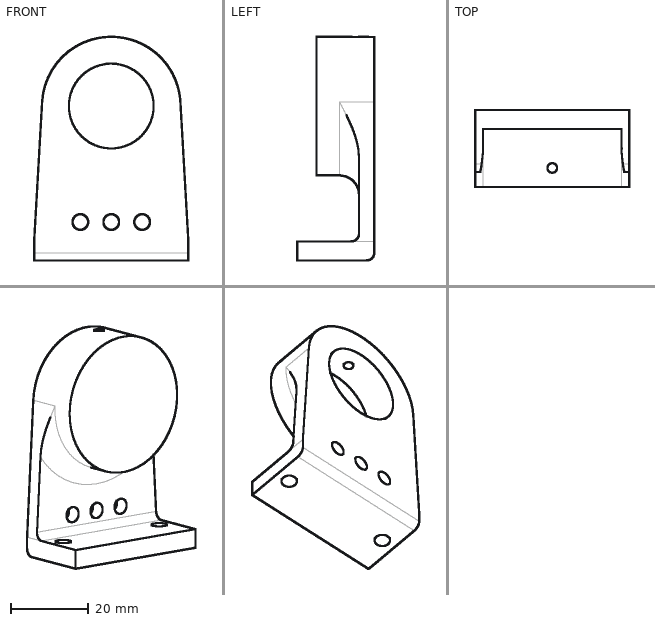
import cadquery as cq
import math

height = 58.0
width = 40.0
base_depth = 20.0
base_thickness = 5.0
wall_thickness = 4.0
corner_radius = 2.0

boss_radius = 18.0
boss_depth = 15.0
boss_fillet = 5.0
bore_diameter = 22.0
bore_depth = 10.0
boss_z = height - boss_radius

wall_hole_diameter = 4.0
wall_hole_spacing = 8.0
wall_hole_z = 10.0
base_hole_diameter = 4.0
base_hole_x = 16.0
base_hole_y = base_depth / 2
oil_hole_diameter = 2.5
oil_hole_y = 5.0

half_width = width / 2


def cylinder_along_y(radius, depth, x, z):
    """Cylinder starting at the front face and running toward +Y."""
    return cq.Workplane("XZ", origin=(x, 0, z)).circle(radius).extrude(-depth)


def wall_profile(depth):
    """Wall outline: straight sides tangent to the round top, extruded toward +Y."""
    rise = boss_z - base_thickness
    corner_distance = math.hypot(half_width, rise)
    tangent_angle = math.acos(boss_radius / corner_distance) - math.atan2(rise, half_width)
    tangent_x = boss_radius * math.cos(tangent_angle)
    tangent_z = boss_z + boss_radius * math.sin(tangent_angle)
    return (
        cq.Workplane("XZ")
        .moveTo(-half_width, 0)
        .lineTo(half_width, 0)
        .lineTo(half_width, base_thickness)
        .lineTo(tangent_x, tangent_z)
        .threePointArc((0, height), (-tangent_x, tangent_z))
        .lineTo(-half_width, base_thickness)
        .close()
        .extrude(-depth)
    )


def boss_flare():
    """Concave fillet ring between the boss and the back of the wall, trimmed to the outline."""
    flare_end = wall_thickness + boss_fillet
    flare_radius = boss_radius + boss_fillet
    mid_offset = boss_fillet * (1 - math.sqrt(0.5))
    ring = (
        cq.Workplane("XY")
        .lineTo(flare_radius, 0)
        .lineTo(flare_radius, wall_thickness)
        .threePointArc(
            (boss_radius + mid_offset, wall_thickness + mid_offset),
            (boss_radius, flare_end),
        )
        .lineTo(0, flare_end)
        .close()
        .revolve(360, (0, 0, 0), (0, 1, 0))
        .translate((0, 0, boss_z))
    )
    return ring.intersect(wall_profile(flare_end))


base = (
    cq.Workplane("YZ")
    .rect(base_depth, base_thickness, centered=False)
    .extrude(half_width, both=True)
)
wall = wall_profile(wall_thickness)
bracket = base.union(wall)
bracket = bracket.edges(cq.selectors.NearestToPointSelector((0, 0, 0))).fillet(corner_radius)
inner_corner = (0, wall_thickness, base_thickness)
bracket = bracket.edges(cq.selectors.NearestToPointSelector(inner_corner)).fillet(corner_radius)

result = bracket.union(cylinder_along_y(boss_radius, boss_depth, 0, boss_z)).union(boss_flare())
result = result.cut(cylinder_along_y(bore_diameter / 2, bore_depth, 0, boss_z))

for position in (-1, 0, 1):
    hole_x = position * wall_hole_spacing
    hole = cylinder_along_y(wall_hole_diameter / 2, base_depth, hole_x, wall_hole_z)
    result = result.cut(hole)

for side in (-1, 1):
    hole = (
        cq.Workplane("XY", origin=(side * base_hole_x, base_hole_y, 0))
        .circle(base_hole_diameter / 2)
        .extrude(base_thickness)
    )
    result = result.cut(hole)

oil_hole = (
    cq.Workplane("XY", origin=(0, oil_hole_y, boss_z))
    .circle(oil_hole_diameter / 2)
    .extrude(boss_radius)
)
result = result.cut(oil_hole)